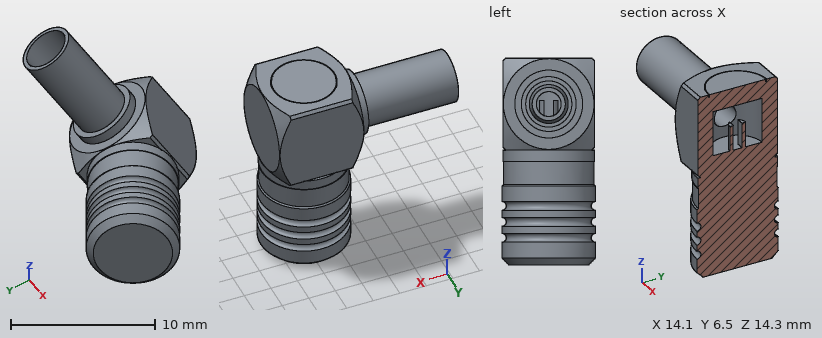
import cadquery as cq


overall_length = 14.1
overall_height = 14.35
sleeve_diameter = 6.5
sleeve_radius = sleeve_diameter / 2

block_side = 6.37
block_half = block_side / 2
edge_chamfer = 0.2
end_circle_radius = 3.14
end_cone_rise = 0.7
cone_outer_radius = 5.02

cap_diameter = 4.5
cap_gap = 0.05
cap_gap_depth = 0.2

tube_end_x = sleeve_radius - overall_length
tube_diameter = 3.8
tube_bore = 3.2
collar_diameter = 4.7
collar_length = 0.7

stem_diameter = 2.7
stem_bore = 1.72
stem_tip_diameter = 2.3
stem_taper_length = 1
stem_recess = 3.0

chamber_diameter = 3.87
chamber_half_height = 1.72
contact_diameter = 1.28
contact_top_z = 0.23
contact_slot_width = 0.67

neck_length = 0.8
shoulder_radius = 3.14
shoulder_length = 1.6
sleeve_bottom_z = block_half - overall_height
bottom_chamfer = 0.5
groove_count = 3
groove_radius = 0.3
groove_pitch = 1.1
last_groove_height = 1.9


def rod_x(diameter, start_x, end_x):
    """Solid cylinder on the cable axis."""
    return cq.Workplane("YZ", origin=(start_x, 0, 0)).circle(diameter / 2).extrude(end_x - start_x)


def rod_z(diameter, start_z, end_z):
    """Solid cylinder on the mating axis."""
    return cq.Workplane("XY", origin=(0, 0, start_z)).circle(diameter / 2).extrude(end_z - start_z)


def make_block():
    """Cube with chamfered long edges and both X ends turned to a cone."""
    cube = cq.Workplane("XY").box(block_side, block_side, block_side)
    cube = cube.edges("|X").chamfer(edge_chamfer)
    cone_length = (cone_outer_radius - end_circle_radius) * end_cone_rise
    turned_envelope = (
        cq.Workplane("XY")
        .moveTo(-block_half, 0)
        .lineTo(-block_half, end_circle_radius)
        .lineTo(-block_half + cone_length, cone_outer_radius)
        .lineTo(block_half - cone_length, cone_outer_radius)
        .lineTo(block_half, end_circle_radius)
        .lineTo(block_half, 0)
        .close()
        .revolve(360, (0, 0, 0), (1, 0, 0))
    )
    return cube.intersect(turned_envelope)


def cut_cap_groove(body):
    """Fine ring groove around the flush cap."""
    groove_floor = block_half - cap_gap_depth
    ring = rod_z(cap_diameter + 2 * cap_gap, groove_floor, block_half)
    return body.cut(ring.cut(rod_z(cap_diameter, groove_floor, block_half)))


def make_sleeve():
    """Neck, shoulder and grip sleeve turned about the mating axis."""
    neck_bottom = -block_half - neck_length
    shoulder_bottom = neck_bottom - shoulder_length
    grip_top = shoulder_bottom - (sleeve_radius - shoulder_radius)
    sleeve = (
        cq.Workplane("XZ")
        .moveTo(0, -block_half)
        .lineTo(block_half, -block_half)
        .lineTo(block_half, neck_bottom)
        .lineTo(shoulder_radius, neck_bottom)
        .lineTo(shoulder_radius, shoulder_bottom)
        .lineTo(sleeve_radius, grip_top)
        .lineTo(sleeve_radius, sleeve_bottom_z + bottom_chamfer)
        .lineTo(sleeve_radius - bottom_chamfer, sleeve_bottom_z)
        .lineTo(0, sleeve_bottom_z)
        .close()
        .revolve(360, (0, 0, 0), (0, 1, 0))
    )
    for index in range(groove_count):
        groove_z = sleeve_bottom_z + last_groove_height + index * groove_pitch
        groove = cq.Solid.makeTorus(sleeve_radius, groove_radius, cq.Vector(0, 0, groove_z))
        sleeve = sleeve.cut(cq.Workplane(groove))
    return sleeve


def make_crimp_tube():
    """Collar and tube, bored out up to the block face."""
    collar = rod_x(collar_diameter, -block_half - collar_length, -block_half)
    tube = collar.union(rod_x(tube_diameter, tube_end_x, -block_half))
    return tube.cut(rod_x(tube_bore, tube_end_x, -block_half))


def make_stem():
    """Cable stem that stands on the block face and tapers toward its tip."""
    tip_x = tube_end_x + stem_recess
    return (
        cq.Workplane("XY")
        .moveTo(tip_x, 0)
        .lineTo(tip_x, stem_tip_diameter / 2)
        .lineTo(tip_x + stem_taper_length, stem_diameter / 2)
        .lineTo(-block_half, stem_diameter / 2)
        .lineTo(-block_half, 0)
        .close()
        .revolve(360, (0, 0, 0), (1, 0, 0))
    )


def make_contact():
    """Round contact standing on the chamber floor, slotted along the cable axis."""
    contact = rod_z(contact_diameter, -chamber_half_height, contact_top_z)
    slot_height = contact_top_z + chamber_half_height
    slot = cq.Workplane("XY", origin=(0, 0, -chamber_half_height)).rect(contact_diameter, contact_slot_width)
    return contact.cut(slot.extrude(slot_height))


body = cut_cap_groove(make_block()).union(make_sleeve()).union(make_crimp_tube()).union(make_stem())
body = body.cut(rod_z(chamber_diameter, -chamber_half_height, chamber_half_height))
body = body.cut(rod_x(stem_bore, tube_end_x, 0))
result = body.union(make_contact())